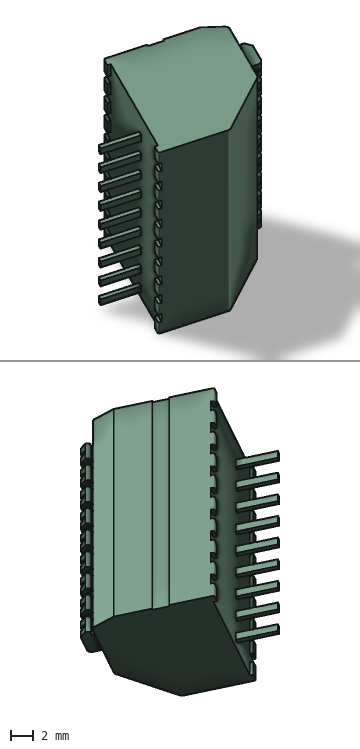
import cadquery as cq

length = 24.0
width = 12.0
housing_depth = 11.23
corner_radius = 0.5

left_slope_width = 0.9
left_slope_depth = 2.3
right_slope_size = 4.68

groove_depth = 0.17
groove_bottom_y = 3.85
groove_top_y = 5.4
groove_corner_radius = 0.12

pole_count = 9
foot_length = 1.5
pitch = (length - foot_length) / pole_count
first_pole_z = 1.18

foot_width = 0.82
foot_height = 0.3
foot_corner_radius = 0.2

pin_left_x = 7.1
pin_thickness = 0.43
pin_length = 3.9
pin_height = 0.8

button_left_x = 2.55
button_right_x = 4.8
button_rise = 1.58
button_height = 1.75
button_offset_z = 0.45
button_corner_radius = 0.4
hook_tip_x = 2.05
hook_slope_width = 0.55
hook_bottom_rise = 0.58
hook_top_rise = 0.98
hook_radius = 0.25

slot_mouth = 0.48
slot_floor = 0.12
slot_depth = 0.58

embed = 0.25


def edge_near(x, y):
    return cq.selectors.NearestToPointSelector((x, y, length / 2))


def make_housing():
    body = (
        cq.Workplane("XY")
        .moveTo(0, 0)
        .lineTo(width, 0)
        .lineTo(width, housing_depth - right_slope_size)
        .lineTo(width - right_slope_size, housing_depth)
        .lineTo(left_slope_width, housing_depth)
        .lineTo(0, housing_depth - left_slope_depth)
        .close()
        .extrude(length)
    )
    upper_corners = (
        edge_near(left_slope_width, housing_depth)
        + edge_near(width - right_slope_size, housing_depth)
        + edge_near(width, housing_depth - right_slope_size)
    )
    body = body.edges(upper_corners).fillet(corner_radius)
    return body.cut(make_groove())


def make_groove():
    groove_height = groove_top_y - groove_bottom_y
    groove = cq.Workplane("XY").box(groove_depth, groove_height, length, centered=False)
    groove = groove.edges(">X and |Z").fillet(groove_corner_radius)
    return groove.translate((0, groove_bottom_y, 0))


def make_left_foot():
    foot_y = -foot_height
    return (
        cq.Workplane("XY")
        .moveTo(0, 0)
        .lineTo(0, foot_y + foot_corner_radius)
        .radiusArc((foot_corner_radius, foot_y), -foot_corner_radius)
        .lineTo(foot_width, foot_y)
        .lineTo(foot_width, 0)
        .close()
        .extrude(foot_length)
    )


def make_pin():
    pin = cq.Workplane("XY").box(pin_thickness, pin_length + embed, pin_height, centered=False)
    return pin.translate((pin_left_x, -pin_length, -pin_height / 2))


def make_button():
    top_y = housing_depth + button_rise
    hook_bottom_y = housing_depth + hook_bottom_rise
    hook_top_y = housing_depth + hook_top_rise
    button = (
        cq.Workplane("XY")
        .moveTo(button_left_x, housing_depth - embed)
        .lineTo(button_right_x, housing_depth - embed)
        .lineTo(button_right_x, top_y - button_corner_radius)
        .radiusArc((button_right_x - button_corner_radius, top_y), -button_corner_radius)
        .lineTo(hook_tip_x + hook_slope_width, top_y)
        .lineTo(hook_tip_x, hook_top_y)
        .lineTo(hook_tip_x, hook_bottom_y + hook_radius)
        .radiusArc((hook_tip_x + hook_radius, hook_bottom_y), -hook_radius)
        .lineTo(button_left_x, hook_bottom_y)
        .close()
        .extrude(button_height)
        .translate((0, 0, -button_height / 2))
    )
    slot = (
        cq.Workplane("YZ")
        .moveTo(top_y, -slot_mouth / 2)
        .lineTo(top_y, slot_mouth / 2)
        .lineTo(top_y - slot_depth, slot_floor / 2)
        .lineTo(top_y - slot_depth, -slot_floor / 2)
        .close()
        .extrude(width)
    )
    return button.cut(slot)


result = make_housing()

left_foot = make_left_foot()
right_foot = left_foot.mirror("YZ").translate((width, 0, 0))
for i in range(pole_count + 1):
    foot_z = pitch * i
    result = result.union(left_foot.translate((0, 0, foot_z)))
    result = result.union(right_foot.translate((0, 0, foot_z)))

pin = make_pin()
button = make_button()
for i in range(pole_count):
    pole_z = first_pole_z + pitch * i
    result = result.union(pin.translate((0, 0, pole_z)))
    result = result.union(button.translate((0, 0, pole_z + button_offset_z)))